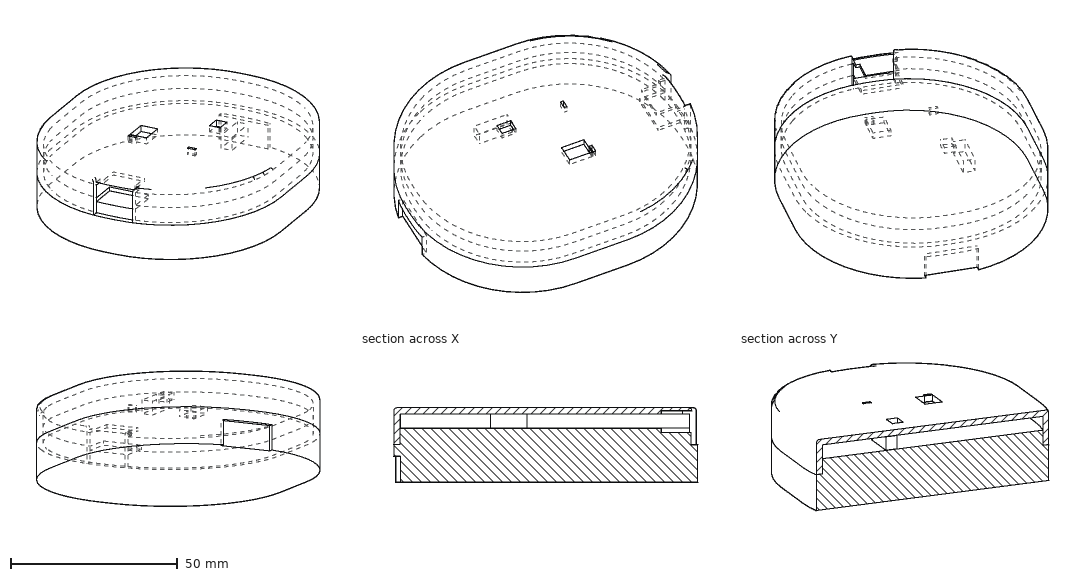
import cadquery as cq

case_width = 77.5
case_length = 91.3
corner_radius = 37.0

case_height = 22.5
seam_height = 11.3
port_floor_height = 15.0
deck_height = 16.25

wall = 2.0
lid_underside = case_height - wall
rim_fillet = 1.0

port_width = 13.0
port_center_x = 0.8
port_depth = 10.95
port_rim_inset = 1.7
pocket_shoulder = 1.3
pocket_depth = 4.6
port_ceiling = case_height - rim_fillet

switch_window_size = (5.6, 7.4)
switch_window_center = (-8.4, -6.3)
sensor_window_size = (3.6, 4.6)
sensor_window_center = (9.0, 8.8)

slit_size = (2.6, 0.9)
slit_offset_x = 9.95
slit_y = -10.8

recess_width = 16.4
recess_height = 7.8
recess_depth = wall

block_width = 3.65
block_length = 10.95
block_clearance = 0.7
block_x = sensor_window_center[0] + sensor_window_size[0] / 2 + block_clearance + block_width / 2
block_y = sensor_window_center[1] + sensor_window_size[1] / 2


def case_prism(inset, bottom, top):
    """Upright prism with the case outline moved inward by `inset`."""
    return (
        cq.Workplane("XY", origin=(0, 0, bottom))
        .rect(case_width - 2 * inset, case_length - 2 * inset)
        .extrude(top - bottom)
        .edges("|Z")
        .fillet(corner_radius - inset)
    )


def box(size, center, bottom, top):
    """Upright block with the plan `size` about the plan point `center`."""
    return cq.Workplane("XY", origin=(*center, bottom)).rect(*size).extrude(top - bottom)


def port_block(width, depth, bottom, top):
    """Block in line with the port that reaches `depth` in from the -Y end."""
    center_y = (depth - case_length) / 2
    return box((width, depth), (port_center_x, center_y), bottom, top)


def make_lid():
    body = case_prism(0, seam_height, case_height)

    port = port_block(port_width, port_depth, seam_height, case_height)
    body = body.cut(port.cut(case_prism(port_rim_inset, seam_height, case_height)))
    body = body.faces(">Z").edges().fillet(rim_fillet)

    body = body.cut(case_prism(wall, seam_height, lid_underside))

    body = body.cut(port_block(port_width, pocket_depth, seam_height, port_ceiling))
    narrow_width = port_width - 2 * pocket_shoulder
    body = body.cut(port_block(narrow_width, port_depth, seam_height, port_ceiling))

    openings = [
        (switch_window_size, switch_window_center),
        (sensor_window_size, sensor_window_center),
        (slit_size, (-slit_offset_x, slit_y)),
        (slit_size, (slit_offset_x, slit_y)),
    ]
    for size, center in openings:
        body = body.cut(box(size, center, lid_underside, case_height))
    return body


def make_base():
    body = case_prism(0, 0, seam_height).union(case_prism(wall, seam_height, deck_height))

    body = body.cut(port_block(port_width, port_depth, port_floor_height, deck_height))

    recess_y = (case_length - recess_depth) / 2
    return body.cut(box((recess_width, recess_depth), (0, recess_y), 0, recess_height))


def make_sensor_block():
    return box((block_width, block_length), (block_x, block_y), deck_height, lid_underside)


lid = make_lid()
base = make_base()
sensor_block = make_sensor_block()

result = cq.Compound.makeCompound([lid.val(), base.val(), sensor_block.val()])